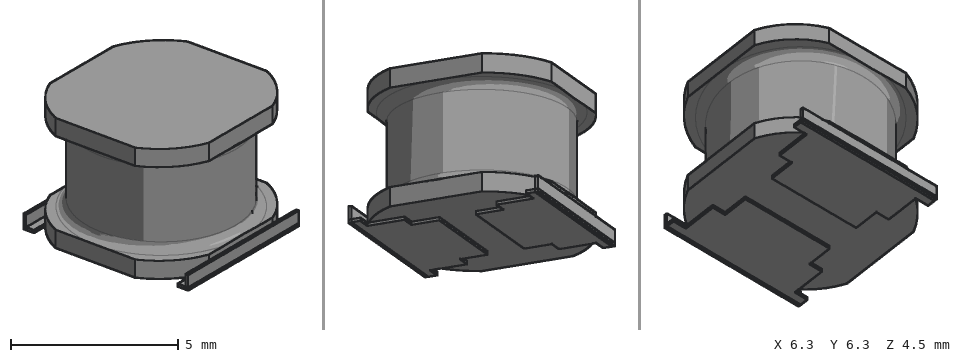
import cadquery as cq

overall_size = 6.3
overall_height = 4.5
sheet_thickness = 0.1

core_half_x = overall_size / 2 - sheet_thickness
core_half_y = overall_size / 2
flat_half_length = 1.525
corner_mid_x = 2.43
corner_mid_y = 2.5
flange_thickness = 0.62
barrel_radius = 5.7 / 2
fillet_radius = core_half_y - barrel_radius

terminal_half_length = 2.65
wall_top = 0.52
foot_step_depth = 0.49
strip_inner_x = 2.75
middle_inner_x = 1.525
foot_inner_x = 0.605


def make_flange(bottom):
    """Plate with four flat sides and four rounded corners."""
    return (
        cq.Workplane("XY", origin=(0, 0, bottom))
        .moveTo(-flat_half_length, -core_half_y)
        .lineTo(flat_half_length, -core_half_y)
        .threePointArc((corner_mid_x, -corner_mid_y), (core_half_x, -flat_half_length))
        .lineTo(core_half_x, flat_half_length)
        .threePointArc((corner_mid_x, corner_mid_y), (flat_half_length, core_half_y))
        .lineTo(-flat_half_length, core_half_y)
        .threePointArc((-corner_mid_x, corner_mid_y), (-core_half_x, flat_half_length))
        .lineTo(-core_half_x, -flat_half_length)
        .threePointArc((-corner_mid_x, -corner_mid_y), (-flat_half_length, -core_half_y))
        .close()
        .extrude(flange_thickness)
    )


def make_barrel(bottom, top):
    """Round barrel that flares into both flanges through concave fillets."""
    flare_radius = barrel_radius + fillet_radius
    profile = (
        cq.Workplane("XZ")
        .moveTo(0, bottom)
        .lineTo(flare_radius, bottom)
        .radiusArc((barrel_radius, bottom + fillet_radius), fillet_radius)
        .lineTo(barrel_radius, top - fillet_radius)
        .radiusArc((flare_radius, top), fillet_radius)
        .lineTo(0, top)
        .close()
    )
    barrel = profile.revolve(360, (0, 0, 0), (0, 1, 0))
    side_limits = cq.Workplane("XY").box(2 * core_half_x, 2 * core_half_y, 2 * overall_height)
    return barrel.intersect(side_limits)


def make_core():
    """Both flanges and the barrel as one solid."""
    lower_bottom = sheet_thickness
    upper_bottom = overall_height - flange_thickness
    barrel = make_barrel(lower_bottom + flange_thickness, upper_bottom)
    return make_flange(lower_bottom).union(barrel).union(make_flange(upper_bottom))


def make_side_strip(side, bottom, top):
    """Straight strip of sheet that runs along one X side of the core."""
    return (
        cq.Workplane("XY", origin=(side * (core_half_x + sheet_thickness / 2), 0, bottom))
        .rect(sheet_thickness, 2 * terminal_half_length)
        .extrude(top - bottom)
    )


def make_terminal_wall(side):
    """Upright part of a terminal, against the side of the lower flange."""
    return make_side_strip(side, sheet_thickness, wall_top)


def make_terminal_bend(side):
    """Corner strip that joins the wall of a terminal to its foot."""
    return make_side_strip(side, 0, sheet_thickness)


def make_terminal_foot(side):
    """Flat foot below the lower flange, narrowing in equal steps towards the middle."""
    middle_half_length = terminal_half_length - foot_step_depth
    inner_half_length = middle_half_length - foot_step_depth
    half_outline = [
        (core_half_x, terminal_half_length),
        (strip_inner_x, terminal_half_length),
        (strip_inner_x, middle_half_length),
        (middle_inner_x, middle_half_length),
        (middle_inner_x, inner_half_length),
        (foot_inner_x, inner_half_length),
    ]
    upper = [(side * x, y) for x, y in half_outline]
    lower = [(side * x, -y) for x, y in reversed(half_outline)]
    return cq.Workplane("XY").polyline(upper + lower).close().extrude(sheet_thickness)


core = make_core()
terminal_walls = [make_terminal_wall(side).val() for side in (-1, 1)]
terminal_bends = [make_terminal_bend(side).val() for side in (-1, 1)]
terminal_feet = [make_terminal_foot(side).val() for side in (-1, 1)]

result = cq.Compound.makeCompound([core.val(), *terminal_walls, *terminal_bends, *terminal_feet])